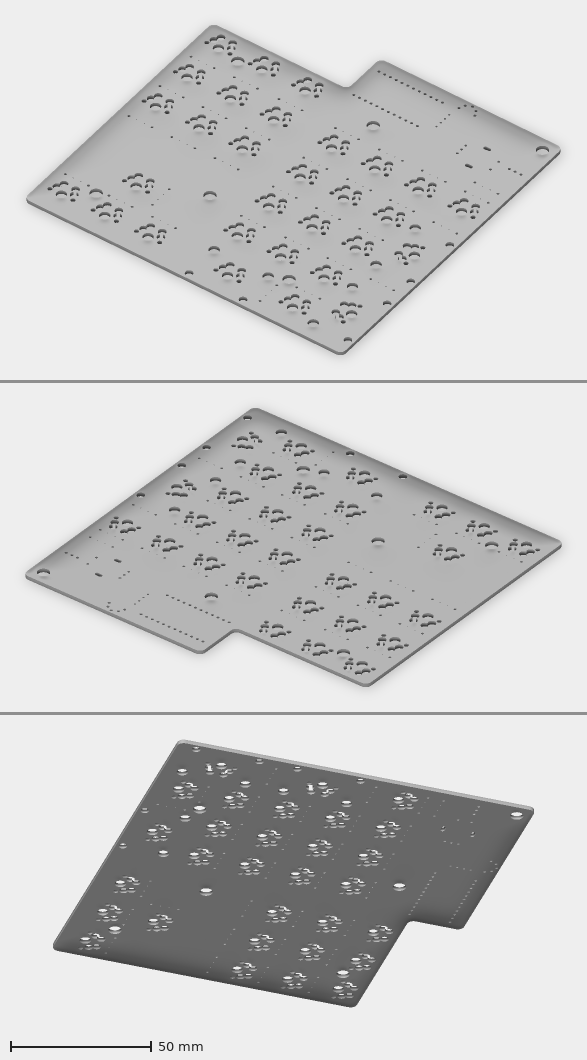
import cadquery as cq

BOARD_X = 139.7
BOARD_Y = 134.1
THICKNESS = 1.5
CUTOUT_X = 59.4
CUTOUT_Y = 19.8
CORNER_RADIUS = 2.4

KEY_PITCH = BOARD_X * 3 / 22
PIN_PITCH = KEY_PITCH / 7.5
EDGE_MARGIN = KEY_PITCH / 2
LEFT_COLUMNS = 3
BLOCK_GAP = KEY_PITCH / 3

POST_DIAMETER = 4.0
PEG_DIAMETER = 1.8
SOCKET_DIAMETER = 3.1
PEG_OFFSET = 2 * PIN_PITCH
NEAR_SOCKET = (1.5 * PIN_PITCH, PIN_PITCH)
FAR_SOCKET = (PIN_PITCH, 2 * PIN_PITCH)

STABILISER_OFFSET = 11.9
STABILISER_LARGE = 4.0
STABILISER_SMALL = 3.1
STABILISER_LARGE_Y = 8.2
STABILISER_SMALL_Y = -7.0

DIODE_LEAD_DIAMETER = 1.0
DIODE_LEAD_OFFSET = 2 * PIN_PITCH
VIA_DIAMETER = 0.4
VIA_OFFSET = 1.7
DIODE_ROWS = [
    (101.0, [130.0]),
    (95.7, [28.2, 47.8]),
    (95.4, [9.4]),
    (95.1, [73.0, 92.3, 111.2, 130.0]),
    (76.4, [9.5, 28.4, 47.4]),
    (75.9, [73.0, 92.3, 111.2]),
    (75.5, [130.5]),
    (57.1, [9.8, 28.6, 47.6, 73.2, 111.2]),
    (57.0, [92.3]),
    (38.0, [73.0, 92.5, 111.0, 129.9]),
    (19.0, [9.5, 28.6, 47.8, 111.2]),
]
UPRIGHT_DIODES = [(39.0, 29.2), (99.7, 10.6)]

MOUNT_DIAMETER = 4.7
MOUNTS = [(134.5, 128.8), (78.1, 104.1), (19.1, 103.2), (52.7, 40.1), (19.1, 17.3), (101.4, 20.8)]

CONTROLLER_PINS = 12
CONTROLLER_DIAMETER = 1.1
CONTROLLER_X = 77.0
CONTROLLER_Y = 120.7
CONTROLLER_ROW_SPACING = 6 * PIN_PITCH

DISPLAY_PINS = 4
DISPLAY_DIAMETER = 0.81
DISPLAY_X = 96.7
DISPLAY_Y = 120.7

HEADER_PINS = 3
HEADER_DIAMETER = 1.1
HEADER_X = 133.3
HEADER_Y = 114.0

ARCH_X = 100.9
ARCH_DIAMETER = 1.1
ARCH_TOP_Y = 132.9
ARCH_SIDES = [(2.4, 131.7), (3.5, 129.5)]

ENCODER_X = 118.2
ENCODER_Y = 112.3
ENCODER_PIN_DIAMETER = 0.99
ENCODER_PIN_X = 7.3
ENCODER_PIN_Y = 2.5
ENCODER_SLOT_Y = 5.6
ENCODER_SLOT_LENGTH = 3.1
ENCODER_SLOT_WIDTH = 1.5


def column_x(column):
    """X of a key column, counted from the left; a half number lies between two columns."""
    gap = BLOCK_GAP if column >= LEFT_COLUMNS else 0
    return EDGE_MARGIN + column * KEY_PITCH + gap


def row_y(row):
    """Y of a key row, counted from the front; a half number lies between two rows."""
    return EDGE_MARGIN + row * KEY_PITCH


def placed(points, centre, upright=False):
    """Move points to a centre, first turning them a quarter turn left if upright."""
    if upright:
        points = [(-y, x) for x, y in points]
    return [(centre[0] + x, centre[1] + y) for x, y in points]


def both_sides(points):
    """Points together with their mirror images in X."""
    return [(side * x, y) for x, y in points for side in (-1, 1)]


def in_line(count, along_y=False):
    """Points on the pin pitch, centred on the origin."""
    offsets = [(i - (count - 1) / 2) * PIN_PITCH for i in range(count)]
    return [(0, d) if along_y else (d, 0) for d in offsets]


def drill(board, points, diameter):
    """Cut round holes through the board."""
    tools = cq.Workplane("XY").pushPoints(points).circle(diameter / 2).extrude(THICKNESS)
    return board.cut(tools)


def make_board():
    outline = [
        (0, 0),
        (BOARD_X, 0),
        (BOARD_X, BOARD_Y),
        (CUTOUT_X, BOARD_Y),
        (CUTOUT_X, BOARD_Y - CUTOUT_Y),
        (0, BOARD_Y - CUTOUT_Y),
    ]
    board = cq.Workplane("XY").polyline(outline).close().extrude(THICKNESS)
    return board.edges("|Z").fillet(CORNER_RADIUS)


def drill_footprints(board, footprints, hole_groups):
    """Cut the hole groups (diameter, points) at every footprint (centre, upright)."""
    for diameter, pattern in hole_groups:
        points = [p for centre, upright in footprints for p in placed(pattern, centre, upright)]
        board = drill(board, points, diameter)
    return board


def cut_switches(board, switches):
    hole_groups = [
        (POST_DIAMETER, [(0, 0)]),
        (PEG_DIAMETER, both_sides([(PEG_OFFSET, 0)])),
        (SOCKET_DIAMETER, both_sides([NEAR_SOCKET])),
        (SOCKET_DIAMETER, both_sides([FAR_SOCKET])),
    ]
    return drill_footprints(board, switches, hole_groups)


def cut_stabilisers(board, switches):
    hole_groups = [
        (STABILISER_LARGE, both_sides([(STABILISER_OFFSET, STABILISER_LARGE_Y)])),
        (STABILISER_SMALL, both_sides([(STABILISER_OFFSET, STABILISER_SMALL_Y)])),
    ]
    return drill_footprints(board, switches, hole_groups)


def cut_diodes(board):
    diodes = [((x, y), False) for y, xs in DIODE_ROWS for x in xs]
    diodes += [(centre, True) for centre in UPRIGHT_DIODES]
    hole_groups = [
        (DIODE_LEAD_DIAMETER, both_sides([(DIODE_LEAD_OFFSET, 0)])),
        (VIA_DIAMETER, both_sides([(VIA_OFFSET, 0)])),
    ]
    return drill_footprints(board, diodes, hole_groups)


def cut_headers(board):
    for side in (-1, 1):
        row_centre = (CONTROLLER_X, CONTROLLER_Y + side * CONTROLLER_ROW_SPACING / 2)
        board = drill(board, placed(in_line(CONTROLLER_PINS), row_centre), CONTROLLER_DIAMETER)
    display = placed(in_line(DISPLAY_PINS, along_y=True), (DISPLAY_X, DISPLAY_Y))
    board = drill(board, display, DISPLAY_DIAMETER)
    header = placed(in_line(HEADER_PINS), (HEADER_X, HEADER_Y))
    return drill(board, header, HEADER_DIAMETER)


def cut_arch(board):
    pattern = [(0, ARCH_TOP_Y)] + both_sides(ARCH_SIDES)
    return drill(board, placed(pattern, (ARCH_X, 0)), ARCH_DIAMETER)


def cut_encoder(board):
    centre = (ENCODER_X, ENCODER_Y)
    pins = both_sides([(ENCODER_PIN_X, ENCODER_PIN_Y), (ENCODER_PIN_X, -ENCODER_PIN_Y)])
    pins.append((-ENCODER_PIN_X, 0))
    board = drill(board, placed(pins, centre), ENCODER_PIN_DIAMETER)
    slots = placed([(0, ENCODER_SLOT_Y), (0, -ENCODER_SLOT_Y)], centre)
    tools = cq.Workplane("XY").pushPoints(slots)
    return board.cut(tools.slot2D(ENCODER_SLOT_LENGTH, ENCODER_SLOT_WIDTH).extrude(THICKNESS))


SWITCH_COLUMNS = [
    [0, 1, 2, 5],
    [1, 3, 4, 5],
    [3, 4, 5],
    [0, 1, 2, 3, 4, 5],
    [0, 1, 2, 3, 4, 5, 6],
    [0, 1, 2],
]
single_switches = [
    ((column_x(column), row_y(row)), False)
    for row, columns in enumerate(SWITCH_COLUMNS)
    for column in columns
]
double_switches = [
    ((column_x(3.5), row_y(0)), False),
    ((column_x(6), row_y(0.5)), True),
    ((column_x(6), row_y(2.5)), True),
]

result = make_board()
result = cut_switches(result, single_switches + double_switches)
result = cut_stabilisers(result, double_switches)
result = cut_diodes(result)
result = drill(result, MOUNTS, MOUNT_DIAMETER)
result = cut_headers(result)
result = cut_arch(result)
result = cut_encoder(result)